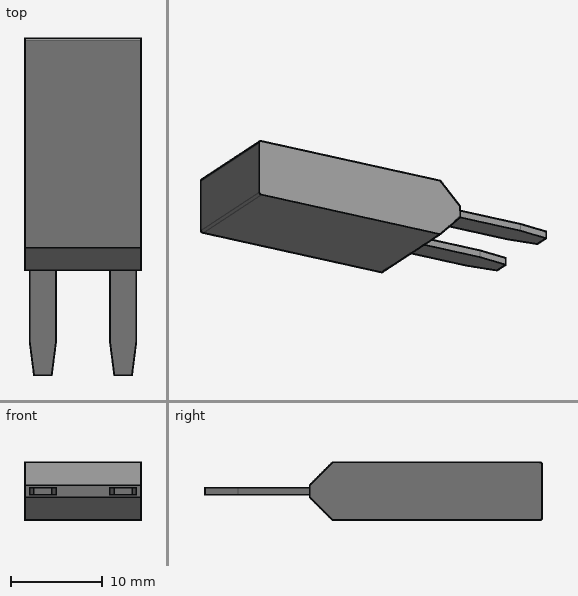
import cadquery as cq

body_width = 12.7
body_height = 6.35
body_length = 25.38
nose_height = 1.33
taper_length = (body_height - nose_height) / 2

total_length = 36.83
blade_length = total_length - body_length
blade_width = 2.87
blade_thickness = 0.8
blade_spacing = 8.75
tip_width = 1.95
tip_length = 3.57

back_edge_radius = 0.25


def make_body():
    """Side profile in the YZ plane, nose at Y = 0, extruded across X."""
    half_height = body_height / 2
    half_nose = nose_height / 2
    profile = [
        (0, -half_nose),
        (taper_length, -half_height),
        (body_length, -half_height),
        (body_length, half_height),
        (taper_length, half_height),
        (0, half_nose),
    ]
    body = cq.Workplane("YZ").polyline(profile).close().extrude(body_width / 2, both=True)
    return body.faces(">Y").edges("|X").fillet(back_edge_radius)


def make_blade(center_x):
    """Flat blade with a tip that narrows in plan."""
    half_width = blade_width / 2
    half_tip = tip_width / 2
    shoulder_y = tip_length - blade_length
    outline = [
        (-half_width, 0),
        (-half_width, shoulder_y),
        (-half_tip, -blade_length),
        (half_tip, -blade_length),
        (half_width, shoulder_y),
        (half_width, 0),
    ]
    blade = cq.Workplane("XY").polyline(outline).close().extrude(blade_thickness / 2, both=True)
    return blade.translate((center_x, 0, 0))


result = make_body()
for side in (-1, 1):
    result = result.union(make_blade(side * blade_spacing / 2))